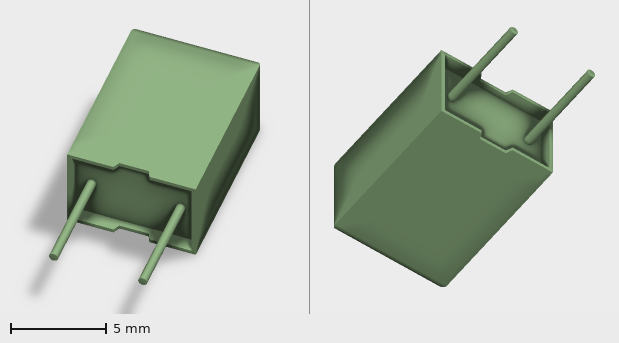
import cadquery as cq

total_length = 15.0
case_width = 7.2
case_height = 5.0
lead_length = 5.0
case_length = total_length - lead_length

wall = 0.22
rear_edge_radius = 0.5
notch_rim_width = 2.01
notch_floor_width = 1.65
notch_depth = 0.38

filling_recess = 0.75
lead_pitch = 5.0
lead_diameter = 0.5

cavity_width = case_width - 2 * wall
cavity_height = case_height - 2 * wall
cavity_length = case_length - wall


def block(width, length, height, start_y):
    """Box centred on the Y axis that runs from start_y toward +Y."""
    box = cq.Workplane("XY").box(width, length, height, centered=(True, False, True))
    return box.translate((0, start_y, 0))


def make_notch_cutter():
    """Tapered rim notch, long enough to cut both the upper and lower walls."""
    return (
        cq.Workplane("XY")
        .polyline([
            (-notch_rim_width / 2, 0),
            (-notch_floor_width / 2, notch_depth),
            (notch_floor_width / 2, notch_depth),
            (notch_rim_width / 2, 0),
        ])
        .close()
        .extrude(case_height, both=True)
    )


def make_case():
    """Box with rounded rear edges, open at the front, with two rim notches."""
    shell = block(case_width, case_length, case_height, 0)
    shell = shell.faces(">Y").edges().fillet(rear_edge_radius)
    cavity = block(cavity_width, cavity_length, cavity_height, 0)
    return shell.cut(cavity).cut(make_notch_cutter())


def make_filling():
    """Block that fills the cavity from the recessed face to the rear wall."""
    return block(cavity_width, cavity_length - filling_recess, cavity_height, filling_recess)


def make_lead(x):
    """Round lead that stands on the face of the filling and points toward -Y."""
    return (
        cq.Workplane("XZ", origin=(x, filling_recess, 0))
        .circle(lead_diameter / 2)
        .extrude(filling_recess + lead_length)
    )


case = make_case()
filling = make_filling()
leads = []
for side in (-1, 1):
    leads.append(make_lead(side * lead_pitch / 2).val())

result = cq.Compound.makeCompound([case.val(), filling.val(), *leads])